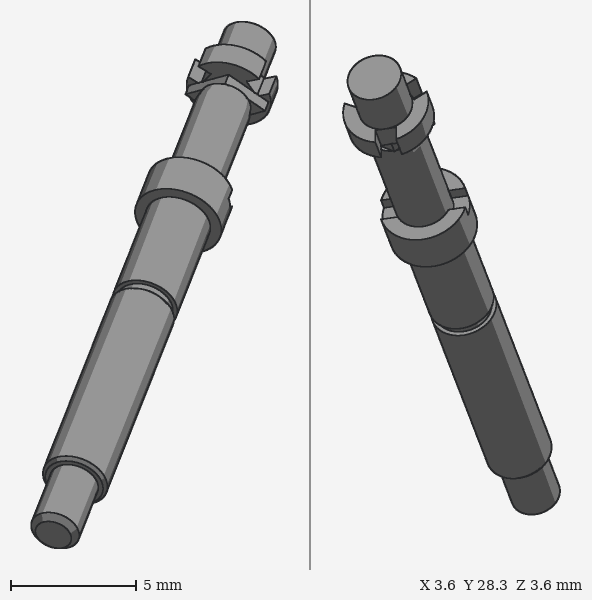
import cadquery as cq

length = 28.3
flange_start = 1.98
flange_end = 3.0
key_end = 3.5
neck_end = 3.95
collar_start = 8.5
collar_end = 10.3
groove_middle = 15.3
barrel_end = 25.3

rod_diameter = 2.2
neck_diameter = 2.12
flange_diameter = 3.5
tube_diameter = 2.3
collar_diameter = 3.6
barrel_diameter = 2.7
tail_diameter = 2.0

barrel_chamfer = 0.15
tail_chamfer = 0.25
groove_width = 0.45
groove_rim_diameter = 2.32
groove_root_diameter = 2.2
key_width = 3.3
flange_notch_width = 0.85
flange_notch_angles = (30, 150, 270)
collar_slot_width = 0.95
collar_slot_depth = 0.5


def y_at(station):
    """Y coordinate of a station; the part is centred on the origin."""
    return length / 2 - station


def cylinder(diameter, start, end):
    """Round section between two stations."""
    section = cq.Workplane("XZ", origin=(0, y_at(start), 0)).circle(diameter / 2)
    return section.extrude(end - start)


def flange():
    """Round flange with three radial notches that reach down to the rod surface."""
    thickness = flange_end - flange_start
    body = cylinder(flange_diameter, flange_start, flange_end)
    notch_reach = flange_diameter / 2
    notch = cq.Workplane("XY").box(notch_reach, thickness, flange_notch_width)
    notch = notch.translate((rod_diameter / 2 + notch_reach / 2, y_at(flange_start + thickness / 2), 0))
    for angle in flange_notch_angles:
        body = body.cut(notch.rotate((0, 0, 0), (0, 1, 0), -angle))
    return body


def key():
    """Rhombic key behind the flange, as tall as the rod and wider across X."""
    half_width = key_width / 2
    half_height = rod_diameter / 2
    corners = [(half_width, 0), (0, half_height), (-half_width, 0), (0, -half_height)]
    outline = cq.Workplane("XZ", origin=(0, y_at(flange_end), 0)).polyline(corners).close()
    return outline.extrude(key_end - flange_end)


def neck():
    """Tapered tube mouth, widening from the key to the tube."""
    front = cq.Workplane("XZ", origin=(0, y_at(key_end), 0)).circle(neck_diameter / 2)
    return front.workplane(offset=neck_end - key_end).circle(tube_diameter / 2).loft()


def collar():
    """Stop collar with a slot across its front face to receive the key."""
    body = cylinder(collar_diameter, collar_start, collar_end)
    slot = cq.Workplane("XY").box(collar_diameter, collar_slot_depth, collar_slot_width)
    return body.cut(slot.translate((0, y_at(collar_start + collar_slot_depth / 2), 0)))


def crimp_groove():
    """Ring to remove: straight walls down to a shallow V-shaped floor."""
    middle = y_at(groove_middle)
    front = middle + groove_width / 2
    back = middle - groove_width / 2
    rim = groove_rim_diameter / 2
    outside = collar_diameter / 2
    points = [(outside, front), (rim, front), (groove_root_diameter / 2, middle), (rim, back), (outside, back)]
    return cq.Workplane("XY").polyline(points).close().revolve(360, (0, 0), (0, 1))


def barrel():
    """Main barrel with a chamfered end and a crimp groove."""
    body = cylinder(barrel_diameter, collar_end, barrel_end).faces("<Y").chamfer(barrel_chamfer)
    return body.cut(crimp_groove())


rod = cylinder(rod_diameter, 0, flange_start)
tube = cylinder(tube_diameter, neck_end, collar_end)
tail = cylinder(tail_diameter, barrel_end, length).faces("<Y").chamfer(tail_chamfer)

result = rod.union(flange()).union(key()).union(neck()).union(tube)
result = result.union(collar()).union(barrel()).union(tail)